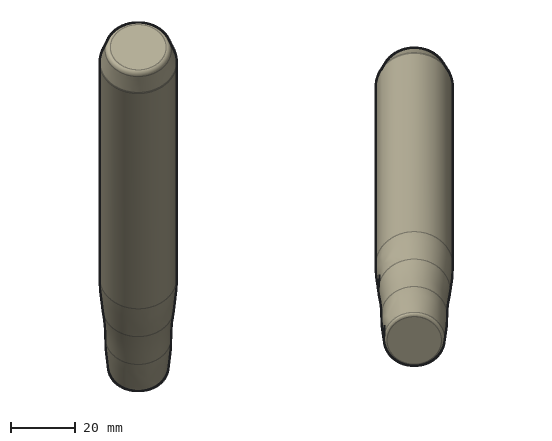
import cadquery as cq
import math

length = 170.0
body_diameter = 24.0
body_radius = body_diameter / 2

zone_height = 16.0
zone_drop = 0.88
zone_arc_radius = (zone_height**2 + zone_drop**2) / (2 * zone_drop)
neck_radius = body_radius - 2 * zone_drop
tip_radius = neck_radius - zone_drop
tip_rounding = 1.0

cone_height = 7.6
cone_angle = math.radians(15)
cone_top_radius = body_radius - cone_height * math.tan(cone_angle)
rim_rounding = 1.7
shoulder_rounding = 2.0
selection_margin = 0.2


def zone_mid_drop():
    """Radius lost halfway down an arc that starts parallel to the axis."""
    return zone_arc_radius - math.sqrt(zone_arc_radius**2 - (zone_height / 2) ** 2)


def make_profile():
    """Half section of the pin, drawn as radius and height."""
    mid_drop = zone_mid_drop()
    return (
        cq.Workplane("XZ")
        .lineTo(tip_radius, 0)
        .threePointArc((neck_radius - mid_drop, zone_height / 2), (neck_radius, zone_height))
        .threePointArc(
            (neck_radius + mid_drop, 1.5 * zone_height),
            (neck_radius + zone_drop, 2 * zone_height),
        )
        .threePointArc((body_radius - mid_drop, 2.5 * zone_height), (body_radius, 3 * zone_height))
        .lineTo(body_radius, length - cone_height)
        .lineTo(cone_top_radius, length)
        .lineTo(0, length)
        .close()
    )


def round_ends(pin):
    """Round the tip, the upper rim and the shoulder under the cone."""
    pin = pin.faces("<Z").edges().fillet(tip_rounding)
    pin = pin.faces(">Z").edges().fillet(rim_rounding)
    shoulder_height = length - cone_height
    shoulder = cq.selectors.BoxSelector(
        (-length, -length, shoulder_height - selection_margin),
        (length, length, shoulder_height + selection_margin),
        boundingbox=True,
    )
    return pin.edges(shoulder).fillet(shoulder_rounding)


result = round_ends(make_profile().revolve(360, (0, 0), (0, 1)))